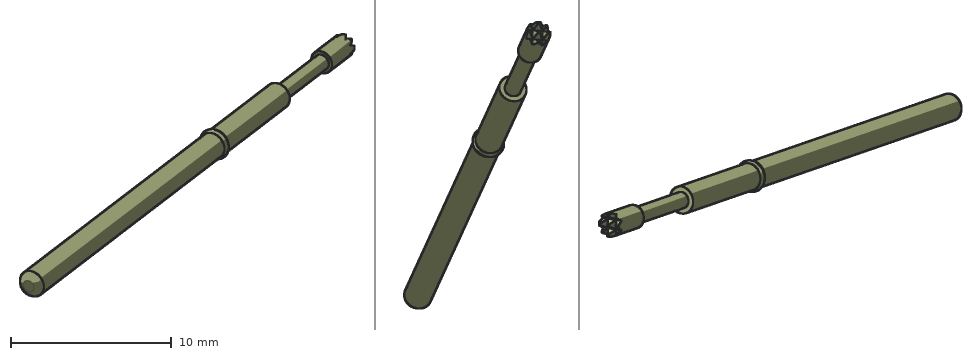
import cadquery as cq

total_length = 38.7
barrel_length = 30.38
barrel_diameter = 1.75
barrel_radius = barrel_diameter / 2

tail_length = 0.4
tail_face_radius = 0.4
tail_bulge = 0.08

collar_radius = 1.0
collar_width = 0.45
collar_center = 22.65

plunger_diameter = 1.05
plunger_radius = plunger_diameter / 2
head_diameter = 1.5
head_radius = head_diameter / 2
head_length = 2.98

tooth_pitch = 0.6
tooth_depth = 0.58
grooves_per_direction = 2
crown_bevel_length = 0.25
crown_tip_radius = tooth_pitch


def make_barrel():
    """Barrel revolved about the Y axis, with the domed tail at Y = 0."""
    profile = (
        cq.Workplane("XY")
        .lineTo(tail_face_radius, 0)
        .sagittaArc((barrel_radius, tail_length), -tail_bulge)
        .lineTo(barrel_radius, barrel_length)
        .lineTo(0, barrel_length)
        .close()
    )
    return profile.revolve(360, (0, 0, 0), (0, 1, 0))


def make_collar():
    """Ring with a bulging outer face, revolved about the Y axis."""
    rear = collar_center - collar_width / 2
    front = collar_center + collar_width / 2
    profile = (
        cq.Workplane("XY")
        .moveTo(0, rear)
        .lineTo(barrel_radius, rear)
        .threePointArc((collar_radius, collar_center), (barrel_radius, front))
        .lineTo(0, front)
        .close()
    )
    return profile.revolve(360, (0, 0, 0), (0, 1, 0))


def make_groove(offset):
    """V groove along Z, centered at the given X offset and opening at the tip."""
    half_pitch = tooth_pitch / 2
    return (
        cq.Workplane("XY")
        .moveTo(offset - half_pitch, total_length)
        .lineTo(offset, total_length - tooth_depth)
        .lineTo(offset + half_pitch, total_length)
        .close()
        .extrude(2 * head_radius, both=True)
    )


def make_head():
    """Bevel-ended cylinder revolved about the Y axis, then grooved into teeth."""
    profile = (
        cq.Workplane("XY")
        .moveTo(0, total_length - head_length)
        .lineTo(head_radius, total_length - head_length)
        .lineTo(head_radius, total_length - crown_bevel_length)
        .lineTo(crown_tip_radius, total_length)
        .lineTo(0, total_length)
        .close()
    )
    head = profile.revolve(360, (0, 0, 0), (0, 1, 0))
    for index in range(grooves_per_direction):
        groove = make_groove((index - (grooves_per_direction - 1) / 2) * tooth_pitch)
        head = head.cut(groove)
        head = head.cut(groove.rotate((0, 0, 0), (0, 1, 0), 90))
    return head


def make_plunger():
    """Slim rod joining the open end of the barrel to the head."""
    exposed_length = total_length - head_length - barrel_length
    base = cq.Workplane("XZ", origin=(0, barrel_length, 0))
    return base.circle(plunger_radius).extrude(-exposed_length)


result = make_barrel().union(make_collar()).union(make_plunger()).union(make_head())